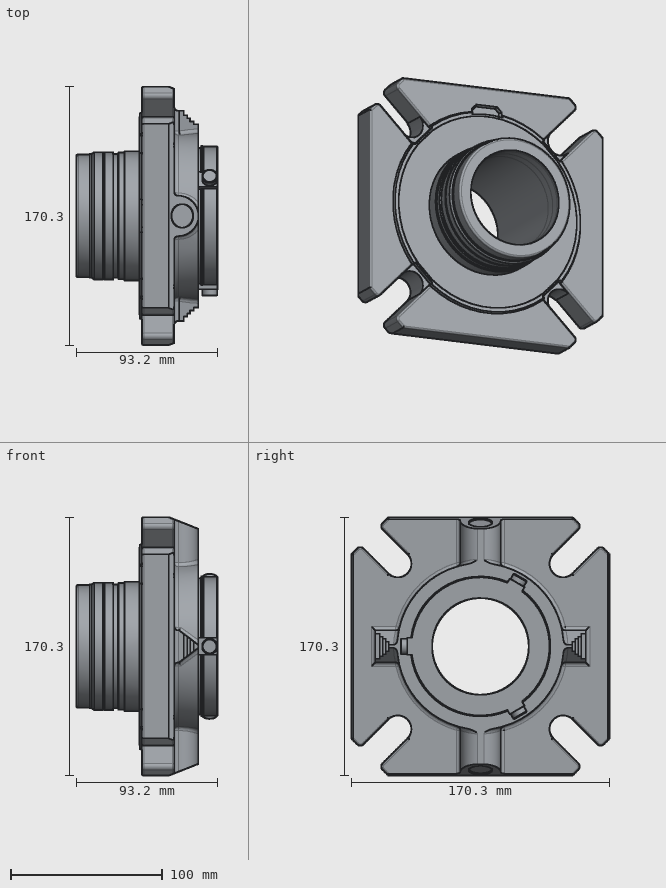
import cadquery as cq
import math


flange_size = 170.3
half_flange = flange_size / 2
total_length = 93.2

tolerance = 0.02

hub_face_x = 41.5
rim_face_x = 41.7
plate_front_x = 43.3
seat_x = 45.1
bevel_x = 61.0
plate_rear_x = 64.5
body_end_x = 80.4

corner_flat_half = 60.6
slot_width = 17.7
slot_half = slot_width / 2
slot_end_radius = 77.0
wing_tip_radius = 2.9
plate_edge_radius = 1.2
margin_end_height = 77.5

hub_radius = 67.6
hub_foot_radius = 68.5
face_radius = 130.0 / 2
face_chord = 64.5
hub_chord = 65.9
notch_hub_radius = 66.5
notch_half_width = 10.9
notch_half_top = 7.5
notch_shoulder_z = 69.5
notch_top_z = 72.9
notch_wall_angle = 30.0

body_radius = 54.8
foot_fillet = 2.5
root_fillet = 2.7
foot_limit_radius = 71.5
tongue_radius = 13.3
tongue_centre_x = 67.3
tongue_dimple_diameter = 15.5
tongue_dimple_x = 70.0
tongue_dimple_depth = 1.0
arrow_half_width = 10.5
arrow_shoulder_x = 67.8
arrow_tip_half_width = 1.0
arrow_steps = [(70.8, 69.3), (73.2, 66.5), (75.1, 64.4), (77.5, 62.3), (body_end_x, 60.5)]

lip_radius = 81.0 / 2
lip_round = 1.4
lip_end_x = 9.0
groove_radius = 40.9
lead_in = (10.2, 12.0)
front_land_radius = 84.1 / 2
hairline_groove = (17.4, 18.7)
wide_groove = (24.4, 27.5)
rear_land_radius = 41.9
rear_land = (28.0, 31.5)
root_start_x = 32.0
root_radius = 85.5 / 2

neck_radius = 45.0
ridge_radius = 46.2
ridge_foot = (82.1, 83.5)
ridge_flat = (82.5, 83.1)
collar_radius = 91.6 / 2
collar_start_x = 84.0
collar_edge_length = 0.7
collar_edge_drop = 0.3
pad_height = 48.4
pad_width = 11.2
pin_diameter = 10.0
pin_height = 52.6
pin_x = 87.9
pin_chamfer = 0.5
pin_count = 3

mouth_radius = 63.9 / 2
mouth_flare = 0.2
mouth_flare_length = 1.4
middle_radius = 31.8
middle_bore = (2.5, 9.2)
bore_radius = 63.5 / 2
bore_start_x = 16.0

DIAGONALS = [45, 135, 225, 315]
QUARTERS = [0, 90, 180, 270]


def disc(start_x, end_x, radius):
    """Cylinder about the part axis."""
    return cq.Workplane("YZ").workplane(offset=start_x).circle(radius).extrude(end_x - start_x)


def revolve_about_axis(profile):
    """Close an open half profile and spin it about the part axis."""
    return profile.close().revolve(360, (0, 0, 0), (1, 0, 0))


def about_axis(shape, angle):
    """Turn a shape about the part axis."""
    return shape.rotate((0, 0, 0), (1, 0, 0), angle)


def make_wing():
    """One trapezoidal quarter of the plate, on the +Z side, with rounded edges."""
    slot_offset = slot_half * math.sqrt(2)
    tip_y = (half_flange + corner_flat_half - slot_offset) / 2
    tip_z = tip_y + slot_offset
    outline = [
        (0, slot_offset),
        (tip_y, tip_z),
        (corner_flat_half, half_flange),
        (-corner_flat_half, half_flange),
        (-tip_y, tip_z),
    ]
    wing = (
        cq.Workplane("YZ").workplane(offset=plate_front_x)
        .polyline(outline).close().extrude(plate_rear_x - plate_front_x)
    )
    for side in (-1, 1):
        tip = cq.selectors.NearestToPointSelector((plate_front_x, side * tip_y, tip_z))
        wing = wing.edges("|X").edges(tip).fillet(wing_tip_radius)
    return wing.faces("<X or >X").edges().fillet(plate_edge_radius)


def below_margin_plane():
    """Half-space block bounded above by the sloped rear margin of the +Z side."""
    return (
        cq.Workplane("XZ")
        .polyline([
            (0, 0),
            (0, half_flange),
            (bevel_x, half_flange),
            (body_end_x, margin_end_height),
            (body_end_x, 0),
        ])
        .close().extrude(half_flange, both=True)
    )


def make_tongue():
    """Round-ended tongue on the +Z side of the body, flush with the sloped margin."""
    tongue = (
        cq.Workplane("XY")
        .moveTo(bevel_x, -tongue_radius)
        .lineTo(tongue_centre_x, -tongue_radius)
        .threePointArc((tongue_centre_x + tongue_radius, 0), (tongue_centre_x, tongue_radius))
        .lineTo(bevel_x, tongue_radius)
        .close().extrude(half_flange)
    )
    return tongue.intersect(below_margin_plane())


def make_tongue_dimple():
    """Shallow round recess sunk square into the sloped face of the +Z tongue."""
    run = body_end_x - bevel_x
    drop = half_flange - margin_end_height
    centre_z = half_flange - drop * (tongue_dimple_x - bevel_x) / run
    face = cq.Plane(
        origin=(tongue_dimple_x, 0, centre_z), xDir=(run, 0, -drop), normal=(drop, 0, run)
    )
    return cq.Workplane(face).circle(tongue_dimple_diameter / 2).extrude(-tongue_dimple_depth)


def make_arrow():
    """Arrow-shaped staircase on the +Z side, descending towards the body end."""
    plan = (
        cq.Workplane("XY")
        .polyline([
            (bevel_x, -arrow_half_width),
            (arrow_shoulder_x, -arrow_half_width),
            (body_end_x, -arrow_tip_half_width),
            (body_end_x, arrow_tip_half_width),
            (arrow_shoulder_x, arrow_half_width),
            (bevel_x, arrow_half_width),
        ])
        .close().extrude(half_flange)
    )
    profile = [(bevel_x, 0)]
    start_x = bevel_x
    for end_x, height in arrow_steps:
        profile += [(start_x, height), (end_x, height)]
        start_x = end_x
    profile.append((body_end_x, 0))
    stairs = cq.Workplane("XZ").polyline(profile).close().extrude(half_flange, both=True)
    return plan.intersect(stairs)


def make_slot():
    """Round-ended slot through the plate, open outwards along +Y."""
    length = half_flange
    depth = body_end_x - seat_x
    channel = (
        cq.Workplane("YZ").workplane(offset=seat_x)
        .center(slot_end_radius + length / 2, 0).rect(length, slot_width).extrude(depth)
    )
    end = (
        cq.Workplane("YZ").workplane(offset=seat_x)
        .center(slot_end_radius, 0).circle(slot_half).extrude(depth)
    )
    return channel.union(end)


def radial_distance(point):
    """Distance of a point from the part axis."""
    return math.hypot(point.y, point.z)


def root_edges(solid):
    """Edges where the tongues and arrows rise from the body cylinder."""
    def lies_on_cylinder(edge):
        points = [edge.positionAt(t) for t in (0, 0.5, 1)]
        return all(abs(radial_distance(p) - body_radius) < tolerance for p in points)

    def lies_across_axis(edge):
        return abs(edge.startPoint().x - edge.endPoint().x) < tolerance and edge.geomType() == "CIRCLE"

    def is_body_seam(edge):
        return abs(edge.Center().z) < tolerance and edge.geomType() == "LINE"

    return [
        edge for edge in solid.edges().vals()
        if lies_on_cylinder(edge) and not lies_across_axis(edge) and not is_body_seam(edge)
    ]


def foot_edges(solid):
    """Edges where the body, its tongues and its arrows meet the rear face of the plate."""
    def lies_on_plate(edge):
        return all(abs(edge.positionAt(t).x - plate_rear_x) < tolerance for t in (0, 0.5, 1))

    return [
        edge for edge in solid.edges().vals()
        if lies_on_plate(edge) and radial_distance(edge.positionAt(0.5)) < foot_limit_radius
    ]


def make_hub():
    """Stepped hub in front of the plate, flattened where the slots end."""
    rim_profile = cq.Workplane("XY").polyline([
        (rim_face_x, 0),
        (rim_face_x, hub_radius),
        (plate_front_x, hub_foot_radius),
        (seat_x, hub_foot_radius),
        (seat_x, 0),
    ])
    rim = revolve_about_axis(rim_profile)
    slot_clearance = (
        cq.Workplane("YZ").workplane(offset=rim_face_x)
        .center(hub_chord + slot_end_radius / 2, 0).rect(slot_end_radius, slot_width)
        .extrude(seat_x - rim_face_x)
    )
    for angle in DIAGONALS:
        rim = rim.cut(about_axis(slot_clearance, angle))
    face_square_side = 2 * face_chord
    face_square = (
        cq.Workplane("YZ").workplane(offset=hub_face_x)
        .rect(face_square_side, face_square_side).extrude(seat_x - hub_face_x)
    )
    face = disc(hub_face_x, seat_x, face_radius).intersect(about_axis(face_square, DIAGONALS[0]))
    return rim.union(face)


def make_notch():
    """Index notch across the hub rim and plate face on the +Z side, with sloped pocket walls."""
    outline = [
        (-notch_half_width, 0),
        (-notch_half_width, notch_shoulder_z),
        (-notch_half_top, notch_top_z),
        (notch_half_top, notch_top_z),
        (notch_half_width, notch_shoulder_z),
        (notch_half_width, 0),
    ]
    opening = (
        cq.Workplane("YZ").workplane(offset=hub_face_x)
        .polyline(outline).close().extrude(plate_front_x - hub_face_x)
    )
    pocket = (
        cq.Workplane("YZ").workplane(offset=plate_front_x)
        .polyline(outline).close().extrude(seat_x - plate_front_x, taper=notch_wall_angle)
    )
    return opening.union(pocket).cut(disc(hub_face_x, seat_x, notch_hub_radius))


def make_turned_parts():
    """Grooved pipe ahead of the hub and collar behind the body, as one revolved profile."""
    lip_middle = lip_round * (1 - math.sqrt(0.5))
    profile = (
        cq.Workplane("XY")
        .moveTo(0, 0)
        .lineTo(0, lip_radius - lip_round)
        .threePointArc((lip_middle, lip_radius - lip_middle), (lip_round, lip_radius))
        .lineTo(lip_end_x, lip_radius)
        .lineTo(lip_end_x, groove_radius)
        .lineTo(lead_in[0], groove_radius)
        .lineTo(lead_in[1], front_land_radius)
        .lineTo(hairline_groove[0], front_land_radius)
        .lineTo(sum(hairline_groove) / 2, groove_radius)
        .lineTo(hairline_groove[1], front_land_radius)
        .lineTo(wide_groove[0], front_land_radius)
        .lineTo(wide_groove[0], groove_radius)
        .lineTo(wide_groove[1], groove_radius)
        .lineTo(rear_land[0], rear_land_radius)
        .lineTo(rear_land[1], rear_land_radius)
        .lineTo(root_start_x, root_radius)
        .lineTo(seat_x, root_radius)
        .lineTo(body_end_x, neck_radius)
        .lineTo(ridge_foot[0], neck_radius)
        .lineTo(ridge_flat[0], ridge_radius)
        .lineTo(ridge_flat[1], ridge_radius)
        .lineTo(ridge_foot[1], neck_radius)
        .lineTo(collar_start_x, collar_radius)
        .lineTo(total_length - collar_edge_length, collar_radius)
        .lineTo(total_length, collar_radius - collar_edge_drop)
        .lineTo(total_length, 0)
    )
    return revolve_about_axis(profile)


def make_pin():
    """Bayonet pin on its square pad, pointing along +Y."""
    pad = cq.Workplane("XY").box(
        total_length - body_end_x, pad_height, pad_width, centered=(False, False, True)
    ).translate((body_end_x, 0, 0))
    pin = (
        cq.Workplane("XZ").center(pin_x, 0).circle(pin_diameter / 2).extrude(-pin_height)
        .faces(">Y").chamfer(pin_chamfer)
    )
    return pad.union(pin)


def make_bore():
    """Through bore, slightly wider towards the mouth."""
    profile = cq.Workplane("XY").polyline([
        (0, 0),
        (0, mouth_radius + mouth_flare),
        (mouth_flare_length, mouth_radius),
        (middle_bore[0], middle_radius),
        (middle_bore[1], middle_radius),
        (bore_start_x, bore_radius),
        (total_length, bore_radius),
        (total_length, 0),
    ])
    return revolve_about_axis(profile)


body = disc(seat_x, body_end_x, body_radius)
for angle in (0, 180):
    body = body.union(about_axis(make_tongue(), angle))
for angle in (90, 270):
    body = body.union(about_axis(make_arrow(), angle))
body = body.newObject(root_edges(body)).fillet(root_fillet)

plate = disc(seat_x, plate_rear_x, slot_end_radius)
for angle in QUARTERS:
    plate = plate.union(about_axis(make_wing().intersect(below_margin_plane()), angle))
plate = plate.union(body)
plate = plate.newObject(foot_edges(plate)).fillet(foot_fillet)
for angle in DIAGONALS:
    plate = plate.cut(about_axis(make_slot(), angle))

result = plate.union(make_hub()).cut(make_notch())
for angle in (0, 180):
    result = result.cut(about_axis(make_tongue_dimple(), angle))
result = result.union(make_turned_parts())
for index in range(pin_count):
    result = result.union(about_axis(make_pin(), 180 + index * 360 / pin_count))
result = result.cut(make_bore())